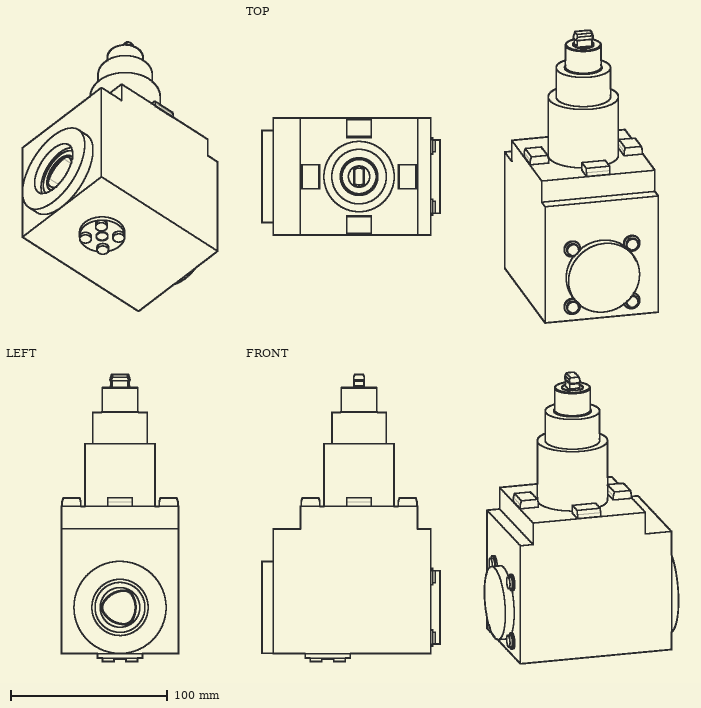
import cadquery as cq
import math


HOUSING_LEFT = -55.0
HOUSING_RIGHT = 46.0
HOUSING_WIDTH = 75.0
HOUSING_HEIGHT = 79.7
SHOULDER_TOP = 94.2

PAD_LENGTH = 12.1
PAD_WIDTH = 15.5
PAD_HEIGHT = 5.3
PAD_EDGE_GAP = 0.4
PAD_BEVEL_RUN = 0.7
PAD_BEVEL_RISE = 2.5

NOSE_DIAMETER = 45.0
NOSE_TOP = 134.3
NECK_DIAMETER = 34.9
NECK_TOP = 154.3
COLLAR_DIAMETER = 23.0
COLLAR_TOP = 170.3
COLLAR_BEVEL = 0.5

KEY_TOP = 178.5
KEY_THICKNESS = 7.0
KEY_ROOT_THICKNESS = 6.6
KEY_ROOT_TOP = 174.5
KEY_BEVEL_RUN = 0.7
KEY_BEVEL_RISE = 1.7
KEY_SEAT_DIAMETER = 13.6
KEY_SEAT_DEPTH = 0.4
KEY_FLARE_HEIGHT = 1.0
KEY_NECK_DIAMETER = 11.8
KEY_RIM_DIAMETER = 13.0
KEY_RIM_Z = 175.0
KEY_RIM_RISE = 0.7
KEY_TIP_DIAMETER = 10.8

TOOL_AXIS_Z = 29.5
FLANGE_DIAMETER = 59.0
FLANGE_LENGTH = 7.2
RECESS_DIAMETER = 36.0
RECESS_DEPTH = 5.5
SEAT_DIAMETER = 32.0
SEAT_DEPTH = 0.2
MOUTH_DIAMETER = 25.4
MOUTH_DEPTH = 0.5
SOCKET_DEPTH = 23.9
SOCKET_LOBE_PITCH = 9.5
SOCKET_LOBE_RADIUS = 6.2
SOCKET_TAPER = 1.4

COVER_DIAMETER = 47.0
COVER_LENGTH = 5.9
SCREW_OFFSET = 19.7
WASHER_DIAMETER = 10.5
WASHER_THICKNESS = 1.1
SCREW_HEAD_DIAMETER = 7.5
SCREW_HEAD_TOP = 2.8

PLATE_X = -20.0
PLATE_DIAMETER = 29.0
PLATE_THICKNESS = 3.0
FOOT_DIAMETER = 7.5
FOOT_OFFSET = 7.5
FOOT_BOTTOM = 5.1
BUTTON_BOTTOM = 3.5


def tool_plane(x):
    """Workplane square to the tool axis, facing +X."""
    return cq.Workplane("YZ", origin=(x, 0, TOOL_AXIS_Z))


def cylinder_x(diameter, start_x, length):
    """Cylinder on the tool axis, growing toward +X."""
    return tool_plane(start_x).circle(diameter / 2).extrude(length)


def square_corners(offset):
    return [(a, b) for a in (-offset, offset) for b in (-offset, offset)]


def housing():
    length = HOUSING_RIGHT - HOUSING_LEFT
    middle_x = (HOUSING_RIGHT + HOUSING_LEFT) / 2
    upright = (True, True, False)
    block = cq.Workplane("XY").box(length, HOUSING_WIDTH, HOUSING_HEIGHT, centered=upright)
    shoulder = cq.Workplane("XY").box(HOUSING_WIDTH, HOUSING_WIDTH, SHOULDER_TOP, centered=upright)
    return block.translate((middle_x, 0, 0)).union(shoulder)


def clamping_pads():
    """Four pads around the nose, bevelled on their inner and outer sides."""
    outer = HOUSING_WIDTH / 2 - PAD_EDGE_GAP
    inner = outer - PAD_LENGTH
    top = SHOULDER_TOP + PAD_HEIGHT
    bevel_start = top - PAD_BEVEL_RISE
    profile = [
        (inner, SHOULDER_TOP),
        (inner, bevel_start),
        (inner + PAD_BEVEL_RUN, top),
        (outer - PAD_BEVEL_RUN, top),
        (outer, bevel_start),
        (outer, SHOULDER_TOP),
    ]
    pad = cq.Workplane("XZ").polyline(profile).close().extrude(PAD_WIDTH / 2, both=True)
    pads = cq.Workplane("XY")
    for angle in (0, 90, 180, 270):
        pads = pads.add(pad.rotate((0, 0, 0), (0, 0, 1), angle))
    return pads.combine()


def spindle():
    """Stepped nose; the collar has a bevelled top edge, a flared foot and a shallow key seat."""
    seat_z = COLLAR_TOP - KEY_SEAT_DEPTH
    collar = COLLAR_DIAMETER / 2
    profile = [
        (0, SHOULDER_TOP),
        (NOSE_DIAMETER / 2, SHOULDER_TOP),
        (NOSE_DIAMETER / 2, NOSE_TOP),
        (NECK_DIAMETER / 2, NOSE_TOP),
        (NECK_DIAMETER / 2, NECK_TOP),
        (collar + COLLAR_BEVEL, NECK_TOP),
        (collar, NECK_TOP + COLLAR_BEVEL),
        (collar, COLLAR_TOP - COLLAR_BEVEL),
        (collar - COLLAR_BEVEL, COLLAR_TOP),
        (KEY_SEAT_DIAMETER / 2, COLLAR_TOP),
        (KEY_SEAT_DIAMETER / 2, seat_z),
        (0, seat_z),
    ]
    return cq.Workplane("XZ").polyline(profile).close().revolve(360, (0, 0), (0, 1))


def drive_key():
    """Turned tip with a flared foot and a rim, cut to a flat key that is slightly thinner at its root."""
    seat_z = COLLAR_TOP - KEY_SEAT_DEPTH
    turned_profile = [
        (0, seat_z),
        (KEY_SEAT_DIAMETER / 2, seat_z),
        (KEY_SEAT_DIAMETER / 2, COLLAR_TOP),
        (KEY_NECK_DIAMETER / 2, COLLAR_TOP + KEY_FLARE_HEIGHT),
        (KEY_NECK_DIAMETER / 2, KEY_RIM_Z - KEY_RIM_RISE),
        (KEY_RIM_DIAMETER / 2, KEY_RIM_Z),
        (KEY_TIP_DIAMETER / 2, KEY_TOP),
        (0, KEY_TOP),
    ]
    turned = cq.Workplane("XZ").polyline(turned_profile).close().revolve(360, (0, 0), (0, 1))
    half = KEY_THICKNESS / 2
    root_half = KEY_ROOT_THICKNESS / 2
    flat_profile = [
        (-root_half, seat_z),
        (-root_half, KEY_ROOT_TOP),
        (-half, KEY_ROOT_TOP),
        (-half, KEY_TOP - KEY_BEVEL_RISE),
        (-half + KEY_BEVEL_RUN, KEY_TOP),
        (half - KEY_BEVEL_RUN, KEY_TOP),
        (half, KEY_TOP - KEY_BEVEL_RISE),
        (half, KEY_ROOT_TOP),
        (root_half, KEY_ROOT_TOP),
        (root_half, seat_z),
    ]
    flats = cq.Workplane("XZ").polyline(flat_profile).close().extrude(KEY_RIM_DIAMETER, both=True)
    return turned.intersect(flats)


def socket_cutter(start_x):
    """Tapered three-lobed bore of constant width; one lobe points to +Y."""
    lobe_distance = SOCKET_LOBE_PITCH / math.sqrt(3)
    flank_radius = SOCKET_LOBE_PITCH + SOCKET_LOBE_RADIUS
    lobe_reach = lobe_distance + SOCKET_LOBE_RADIUS
    flank_reach = flank_radius - lobe_distance

    def polar(radius, angle):
        return (radius * math.cos(math.radians(angle)), radius * math.sin(math.radians(angle)))

    def lobe_end(angle, side):
        centre_y, centre_z = polar(lobe_distance, angle)
        step_y, step_z = polar(SOCKET_LOBE_RADIUS, angle + side * 30)
        return (centre_y + step_y, centre_z + step_z)

    outline = tool_plane(start_x).moveTo(*lobe_end(0, -1))
    for angle in (0, 120, 240):
        outline = outline.threePointArc(polar(lobe_reach, angle), lobe_end(angle, 1))
        outline = outline.threePointArc(polar(flank_reach, angle + 60), lobe_end(angle + 120, -1))
    return outline.close().extrude(SOCKET_DEPTH, taper=SOCKET_TAPER)


def tool_flange():
    return cylinder_x(FLANGE_DIAMETER, HOUSING_LEFT - FLANGE_LENGTH, FLANGE_LENGTH)


def cut_tool_socket(body):
    """Recess with two shallow steps that lead to the three-lobed bore."""
    depth_x = HOUSING_LEFT - FLANGE_LENGTH
    for diameter, depth in (
        (RECESS_DIAMETER, RECESS_DEPTH),
        (SEAT_DIAMETER, SEAT_DEPTH),
        (MOUTH_DIAMETER, MOUTH_DEPTH),
    ):
        body = body.cut(cylinder_x(diameter, depth_x, depth))
        depth_x += depth
    return body.cut(socket_cutter(depth_x))


def cover():
    """Round cover with four washers and screws at its corners."""
    disc = cylinder_x(COVER_DIAMETER, HOUSING_RIGHT, COVER_LENGTH)
    for diameter, top in ((WASHER_DIAMETER, WASHER_THICKNESS), (SCREW_HEAD_DIAMETER, SCREW_HEAD_TOP)):
        layer = tool_plane(HOUSING_RIGHT).pushPoints(square_corners(SCREW_OFFSET))
        disc = disc.union(layer.circle(diameter / 2).extrude(top))
    return disc


def connector_plate():
    """Round plate under the housing with four feet and a low button in the middle."""
    underside = cq.Workplane("XY", origin=(PLATE_X, 0, 0))
    plate = underside.circle(PLATE_DIAMETER / 2).extrude(-PLATE_THICKNESS)
    feet = underside.pushPoints(square_corners(FOOT_OFFSET)).circle(FOOT_DIAMETER / 2).extrude(-FOOT_BOTTOM)
    button = underside.circle(FOOT_DIAMETER / 2).extrude(-BUTTON_BOTTOM)
    return plate.union(feet).union(button)


result = housing()
for feature in (clamping_pads(), spindle(), drive_key(), tool_flange(), cover(), connector_plate()):
    result = result.union(feature)
result = cut_tool_socket(result)